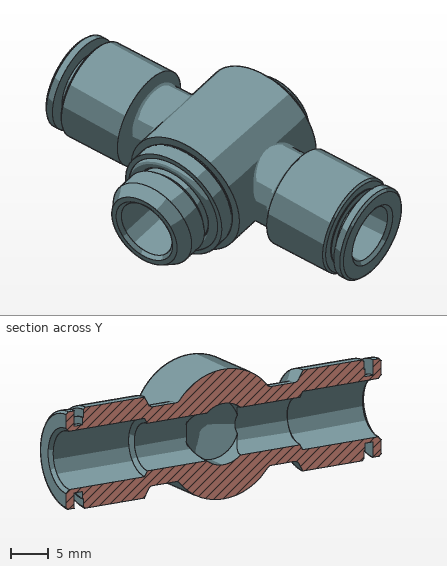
import cadquery as cq
import math


BODY_RADIUS = 9.0
BODY_HALF_LENGTH = 8.5
THREAD_RADIUS = 6.5
STEM_BACK_END = 11.45
STEM_FRONT_END = -17.55
BACK_CHAMFER_LENGTH = 1.05
BACK_END_RADIUS = 5.6
FRONT_CHAMFER_LENGTH = 1.8
FRONT_END_RADIUS = 5.45
RELIEF_RADIUS = 7.85
RELIEF_FRONT = -BODY_HALF_LENGTH - 0.3
COLLAR_RADIUS = 8.0
COLLAR_FRONT = -11.05
NECK_RADIUS = 5.8
NECK_FRONT = -12.2
THREAD_BACK = NECK_FRONT - (THREAD_RADIUS - NECK_RADIUS)

SEAL_OUTER_RADIUS = 7.3
SEAL_SECTION_RADIUS = 0.7

RETAINER_OUTER_RADIUS = 6.95
RETAINER_SECTION_RADIUS = 0.7
RETAINER_Y = 9.05
RETAINER_GAP = 0.45

DRILL_POINT_ANGLE = 120

STEM_BORE_RADIUS = 4.2
STEM_BORE_MOUTH_RADIUS = 4.7
STEM_BORE_END = 3.0

SOCKET_ROOT_RADIUS = 5.5
ROOT_BODY_FILLET = 0.4
SHOULDER_START = 11.5
SHOULDER_FILLET = 0.6
SLEEVE_START = 12.4
SLEEVE_RADIUS = 7.0
SLEEVE_END = 22.0
SLEEVE_CHAMFER = 0.3
SLEEVE_LIP_RADIUS = 5.65
SLEEVE_LIP_LENGTH = 0.15
RELEASE_NECK_RADIUS = 4.65
FLANGE_START = 23.35
FLANGE_END = 24.7
FLANGE_RADIUS = 6.75
FLANGE_CHAMFER = 0.35

TUBE_BORE_RADIUS = 4.0
TUBE_MOUTH_RADIUS = 4.5
TUBE_BORE_BOTTOM = SLEEVE_START
PASSAGE_RADIUS = 3.25


def revolve_about_y(points):
    """Revolve an (x = radius, y) outline about the Y axis."""
    return cq.Workplane("XY").polyline(points).close().revolve(360, (0, 0), (0, 1))


def revolve_about_x(points):
    """Revolve an (x, y = radius) outline about the X axis."""
    return cq.Workplane("XY").polyline(points).close().revolve(360, (0, 0), (1, 0))


def round_ring(outer_radius, section_radius, y):
    """Ring of circular section around the Y axis, centred on the given y."""
    ring = cq.Solid.makeTorus(
        outer_radius - section_radius, section_radius, cq.Vector(0, y, 0), cq.Vector(0, 1, 0)
    )
    return cq.Workplane(obj=ring)


def drill_cone_length(radius_change):
    """Axial length of a drill-point cone over a change in radius."""
    return radius_change / math.tan(math.radians(DRILL_POINT_ANGLE / 2))


def stem_core():
    """Stepped shaft through the body, with the threaded front end and the back stub."""
    return revolve_about_y([
        (0, STEM_BACK_END),
        (BACK_END_RADIUS, STEM_BACK_END),
        (THREAD_RADIUS, STEM_BACK_END - BACK_CHAMFER_LENGTH),
        (THREAD_RADIUS, 0),
        (RELIEF_RADIUS, 0),
        (RELIEF_RADIUS, RELIEF_FRONT),
        (COLLAR_RADIUS, RELIEF_FRONT),
        (COLLAR_RADIUS, COLLAR_FRONT),
        (NECK_RADIUS, COLLAR_FRONT),
        (NECK_RADIUS, NECK_FRONT),
        (THREAD_RADIUS, THREAD_BACK),
        (THREAD_RADIUS, STEM_FRONT_END + FRONT_CHAMFER_LENGTH),
        (FRONT_END_RADIUS, STEM_FRONT_END),
        (0, STEM_FRONT_END),
    ])


def retaining_ring():
    """Ring with its split at the top (+Z)."""
    ring = round_ring(RETAINER_OUTER_RADIUS, RETAINER_SECTION_RADIUS, RETAINER_Y)
    split = cq.Workplane("XY").center(0, RETAINER_Y).rect(RETAINER_GAP, 4 * RETAINER_SECTION_RADIUS)
    return ring.cut(split.extrude(BODY_RADIUS))


def socket():
    """Outer shape of the +X socket, from the stem axis to the flange."""
    shape = revolve_about_x([
        (0, 0),
        (0, SOCKET_ROOT_RADIUS),
        (SHOULDER_START, SOCKET_ROOT_RADIUS),
        (SLEEVE_START, SLEEVE_RADIUS),
        (SLEEVE_END - SLEEVE_CHAMFER, SLEEVE_RADIUS),
        (SLEEVE_END, SLEEVE_RADIUS - SLEEVE_CHAMFER),
        (SLEEVE_END, SLEEVE_LIP_RADIUS),
        (SLEEVE_END + SLEEVE_LIP_LENGTH, SLEEVE_LIP_RADIUS),
        (SLEEVE_END + SLEEVE_LIP_LENGTH, RELEASE_NECK_RADIUS),
        (FLANGE_START, RELEASE_NECK_RADIUS),
        (FLANGE_START, FLANGE_RADIUS),
        (FLANGE_END - FLANGE_CHAMFER, FLANGE_RADIUS),
        (FLANGE_END, FLANGE_RADIUS - FLANGE_CHAMFER),
        (FLANGE_END, 0),
    ])
    shoulder_foot = cq.selectors.NearestToPointSelector((SHOULDER_START, 0, 0))
    return shape.edges("%CIRCLE").edges(shoulder_foot).fillet(SHOULDER_FILLET)


def body_with_sockets():
    """Main cylinder crossed by both sockets, with the joints rounded."""
    body = cq.Workplane("XZ").circle(BODY_RADIUS).extrude(BODY_HALF_LENGTH, both=True)
    right_socket = socket()
    joined = body.union(right_socket.union(right_socket.mirror("YZ")))
    joints = cq.selectors.BoxSelector(
        (-BODY_RADIUS, -SOCKET_ROOT_RADIUS, -SOCKET_ROOT_RADIUS),
        (BODY_RADIUS, SOCKET_ROOT_RADIUS, SOCKET_ROOT_RADIUS),
    )
    return joined.edges(joints).fillet(ROOT_BODY_FILLET)


def socket_bore():
    """+X half of the through passage, with a drill-cone seat below the tube bore and a 45 degree mouth."""
    seat_length = drill_cone_length(TUBE_BORE_RADIUS - PASSAGE_RADIUS)
    mouth_length = TUBE_MOUTH_RADIUS - TUBE_BORE_RADIUS
    return revolve_about_x([
        (0, 0),
        (0, PASSAGE_RADIUS),
        (TUBE_BORE_BOTTOM - seat_length, PASSAGE_RADIUS),
        (TUBE_BORE_BOTTOM, TUBE_BORE_RADIUS),
        (FLANGE_END - mouth_length, TUBE_BORE_RADIUS),
        (FLANGE_END, TUBE_MOUTH_RADIUS),
        (FLANGE_END, 0),
    ])


def stem_bore():
    """Blind bore from the front end, with a 45 degree mouth and a conical bottom."""
    mouth_length = STEM_BORE_MOUTH_RADIUS - STEM_BORE_RADIUS
    point_length = drill_cone_length(STEM_BORE_RADIUS)
    return revolve_about_y([
        (0, STEM_FRONT_END),
        (STEM_BORE_MOUTH_RADIUS, STEM_FRONT_END),
        (STEM_BORE_RADIUS, STEM_FRONT_END + mouth_length),
        (STEM_BORE_RADIUS, STEM_BORE_END),
        (0, STEM_BORE_END + point_length),
    ])


seal_ring = round_ring(SEAL_OUTER_RADIUS, SEAL_SECTION_RADIUS, COLLAR_FRONT)
right_bore = socket_bore()

result = body_with_sockets().union(stem_core()).union(seal_ring).union(retaining_ring())
result = result.cut(stem_bore()).cut(right_bore).cut(right_bore.mirror("YZ"))